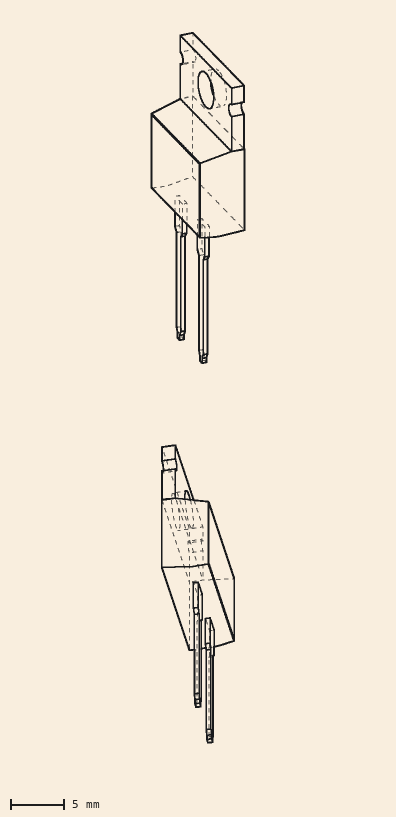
import cadquery as cq
TOTAL_HEIGHT = 30.0

HOUSING_TOP = 23.33
HOUSING_BOTTOM = 14.6
HOUSING_DEPTH = 4.4
BACK_WIDTH = 11.88
FRONT_WIDTH = 10.98
FRONT_TOP_DROP = 0.75
BACK_BOTTOM_RISE = 0.25
FRONT_BOTTOM_RISE = 0.18
FRONT_CHAMFER = 0.05

TAB_THICKNESS = 1.3
TAB_WIDTH = 11.65
HOLE_DIAMETER = 3.55
HOLE_CENTER_Z = TOTAL_HEIGHT - 2.97
NOTCH_RADIUS = 0.63
NOTCH_CENTER_Z = TOTAL_HEIGHT - 2.37

LEAD_PITCH = 5.07
LEAD_THICKNESS = 0.45
LEAD_CENTER_Y = -2.7
SHOULDER_WIDTH = 1.7
SHANK_WIDTH = 1.0
TIP_WIDTH = 0.5
TIP_LENGTH = 0.5
TIP_TAPER_TOP = 1.02
SHOULDER_TAPER_BOTTOM = 10.98
SHOULDER_TAPER_TOP = 11.45


def make_housing():
    """Block with a sloping top, sides that lean in toward the front and a shallow V bottom."""
    side_outline = [
        (0, HOUSING_TOP),
        (-TAB_THICKNESS, HOUSING_TOP),
        (-HOUSING_DEPTH, HOUSING_TOP - FRONT_TOP_DROP),
        (-HOUSING_DEPTH, HOUSING_BOTTOM + FRONT_BOTTOM_RISE),
        (LEAD_CENTER_Y - LEAD_THICKNESS / 2, HOUSING_BOTTOM),
        (LEAD_CENTER_Y + LEAD_THICKNESS / 2, HOUSING_BOTTOM),
        (0, HOUSING_BOTTOM + BACK_BOTTOM_RISE),
    ]
    profile = cq.Workplane("YZ").polyline(side_outline).close().extrude(BACK_WIDTH / 2, both=True)
    plan = (
        cq.Workplane("XY", origin=(0, 0, HOUSING_BOTTOM))
        .polyline([
            (-BACK_WIDTH / 2, 0),
            (BACK_WIDTH / 2, 0),
            (FRONT_WIDTH / 2, -HOUSING_DEPTH),
            (-FRONT_WIDTH / 2, -HOUSING_DEPTH),
        ])
        .close()
        .extrude(HOUSING_TOP - HOUSING_BOTTOM)
    )
    return profile.intersect(plan).faces("<Y").edges().chamfer(FRONT_CHAMFER)


def make_tab():
    """Mounting tab on top of the housing, with a screw hole and two edge notches."""
    tab = cq.Workplane("XY").box(
        TAB_WIDTH, TAB_THICKNESS, TOTAL_HEIGHT - HOUSING_TOP, centered=(True, False, False)
    ).translate((0, -TAB_THICKNESS, HOUSING_TOP))
    hole = (
        cq.Workplane("XZ")
        .center(0, HOLE_CENTER_Z)
        .circle(HOLE_DIAMETER / 2)
        .extrude(TAB_THICKNESS)
    )
    notches = (
        cq.Workplane("XZ")
        .pushPoints([(side * TAB_WIDTH / 2, NOTCH_CENTER_Z) for side in (-1, 1)])
        .circle(NOTCH_RADIUS)
        .extrude(TAB_THICKNESS)
    )
    return tab.cut(hole).cut(notches)


def make_lead(center_x):
    """Flat lead that narrows from shoulder to shank to tip."""
    right_edge = [
        (TIP_WIDTH / 2, 0),
        (TIP_WIDTH / 2, TIP_LENGTH),
        (SHANK_WIDTH / 2, TIP_TAPER_TOP),
        (SHANK_WIDTH / 2, SHOULDER_TAPER_BOTTOM),
        (SHOULDER_WIDTH / 2, SHOULDER_TAPER_TOP),
        (SHOULDER_WIDTH / 2, HOUSING_BOTTOM),
    ]
    left_edge = [(-x, z) for x, z in reversed(right_edge)]
    return (
        cq.Workplane("XZ", origin=(center_x, LEAD_CENTER_Y, 0))
        .polyline(right_edge + left_edge)
        .close()
        .extrude(LEAD_THICKNESS / 2, both=True)
    )


housing = make_housing()
tab = make_tab()
leads = [make_lead(side * LEAD_PITCH / 2) for side in (-1, 1)]

result = cq.Compound.makeCompound([housing.val(), tab.val(), *[lead.val() for lead in leads]])